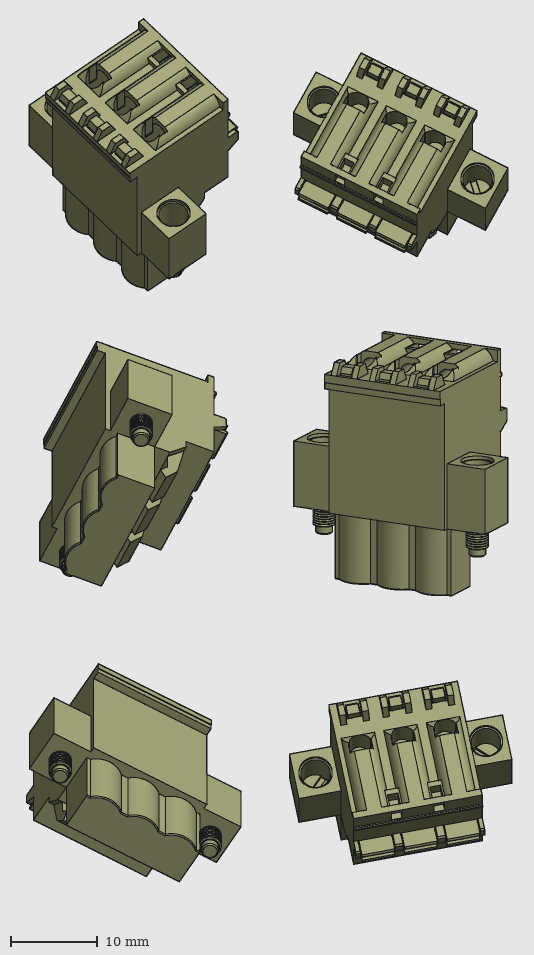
import cadquery as cq
import math

POLE_PITCH = 5.0
POLES = [-POLE_PITCH, 0, POLE_PITCH]
POLE_GAPS = [-POLE_PITCH / 2, POLE_PITCH / 2]

BODY_WIDTH = 15.1
BODY_FRONT = 1.1
BODY_BACK = 14.82
BODY_BOTTOM = 8.3
DECK = 25.22
TOP = 26.6
STEP_Y = 11.28
STEP_Z = 11.6
STEP_CORNER_Z = 10.55
CATCH_Y = 9.23

LIP_SPLIT = 24.23
LIP_BOTTOM = 23.45
LIP_SETBACK = 0.08

BACK_WALL_Y = 14.05
DOME_FRONT = 4.34
DOME_BASE_HALF = 1.97
DOME_TOP_HALF = 0.88
DOME_HEIGHT = TOP - DECK
ENTRY_WIDTH = 2.45
ENTRY_BACK = 6.68
ENTRY_DEPTH = 5.32
SHOULDER_WIDTH = 2.7
SHOULDER_DEPTH = 3.2
TUNNEL_RADIUS = ENTRY_WIDTH / 2
TUNNEL_CREST = 25.83
TUNNEL_LENGTH = 3.2

RIB_WIDTH = 0.72
RIB_OFFSET = 1.33
RIB_BACK = 2.77
RIB_TOP_FRONT = 0.8
RIB_TOP_BACK = 2.07
LATCH_WIDTH = 1.44
LATCH_TOP = 26.2
LATCH_FRONT = 0.5
LATCH_STEP = 0.88
LATCH_BACK = 2.0
LATCH_SHOULDER = 25.48
LATCH_CLEARANCE = 0.1
LATCH_POCKET_DEPTH = 0.27

FRAME_WIDTH = 1.65
FRAME_FRONT = 11.85
FRAME_TOP = 25.94
FRAME_HOLE_WIDTH = 1.25
FRAME_HOLE_FRONT = 12.45
FRAME_HOLE_FLOOR = 23.95

PLUG_FRONT = 2.63
PLUG_BACK = 7.32
BARREL_FRONT = 1.8
BARREL_HALF = 2.07
PLUG_CHAMFER = 0.13

FLANGE_SPAN = 25
FLANGE_FRONT = 1.73
FLANGE_TOP = 16.12
SCREW_X = 2 * POLE_PITCH
SCREW_Y = (FLANGE_FRONT + PLUG_BACK) / 2
HEAD_RADIUS = 1.7
HEAD_DEPTH = 5.32
RECESS_RADIUS = 1.92
RECESS_DEPTH = 0.4
DRIVE_SLOT_WIDTH = 0.7
DRIVE_SLOT_DEPTH = 0.53
THREAD_RADIUS = 1.3
THREAD_ROOT = 1.12
THREAD_START = 8.38
THREAD_PITCH = 0.3
THREAD_TURNS = 9
TIP_RADIUS = 0.98
TIP_END = 4.8
TIP_CHAMFER = 0.15

HOOK_WIDTH = 3.83
HOOK_GAP = 0.13
HOOK_ROOT = 14.63
BAR_BACK = 16.35
BAR_TOP = 19.15
BAR_BOTTOM = 16.62


def box(x_mid, width, y_front, y_back, z_low, z_high):
    """Block centred on x_mid in X and given by its limits in Y and Z."""
    block = cq.Workplane("XY").box(width, y_back - y_front, z_high - z_low, centered=(True, False, False))
    return block.translate((x_mid, y_front, z_low))


def side_prism(points, x_mid, width):
    """Closed (Y, Z) outline extruded along X, centred on x_mid."""
    prism = cq.Workplane("YZ").polyline(points).close().extrude(width / 2, both=True)
    return prism.translate((x_mid, 0, 0))


def make_body():
    """Housing block with the stepped underside, front lip and raised back wall."""
    outline = [
        (BODY_FRONT, BODY_BOTTOM), (CATCH_Y, BODY_BOTTOM), (STEP_Y, STEP_CORNER_Z), (STEP_Y, STEP_Z),
        (BODY_BACK, STEP_Z), (BODY_BACK, TOP), (BACK_WALL_Y, TOP), (BACK_WALL_Y, DECK), (0, DECK),
        (0, LIP_SPLIT), (LIP_SETBACK, LIP_SPLIT), (LIP_SETBACK, LIP_BOTTOM), (BODY_FRONT, LIP_BOTTOM),
    ]
    return side_prism(outline, 0, BODY_WIDTH)


def make_dome(x):
    """Flat-topped arched rib over one pole, bevelled at 45 degrees at its front end."""
    deck_rise = (DOME_BASE_HALF**2 - DOME_TOP_HALF**2 - DOME_HEIGHT**2) / (2 * DOME_HEIGHT)
    radius = math.hypot(DOME_BASE_HALF, deck_rise)
    arch = (
        cq.Workplane("XZ", origin=(x, DOME_FRONT, DECK - deck_rise))
        .circle(radius)
        .extrude(DOME_FRONT - BACK_WALL_Y)
    )
    bevel = [
        (DOME_FRONT, DECK), (BACK_WALL_Y, DECK), (BACK_WALL_Y, TOP), (DOME_FRONT + DOME_HEIGHT, TOP),
    ]
    return arch.intersect(side_prism(bevel, x, 2 * DOME_BASE_HALF))


def make_entry(x):
    """Round-fronted wire entry, eased at the top, with a short arched tunnel running back under the dome."""
    radius = ENTRY_WIDTH / 2
    centre_y = DOME_FRONT + radius
    floor = TOP - ENTRY_DEPTH
    well = (
        cq.Workplane("XY", origin=(x, 0, floor))
        .moveTo(-radius, ENTRY_BACK)
        .lineTo(-radius, centre_y)
        .threePointArc((0, DOME_FRONT), (radius, centre_y))
        .lineTo(radius, ENTRY_BACK)
        .close()
        .extrude(ENTRY_DEPTH)
    )
    shoulder = box(x, SHOULDER_WIDTH, centre_y, ENTRY_BACK, TOP - SHOULDER_DEPTH, TOP)
    spring = TUNNEL_CREST - TUNNEL_RADIUS
    tunnel_back = ENTRY_BACK + TUNNEL_LENGTH
    arch = cq.Workplane("XZ", origin=(x, ENTRY_BACK, spring)).circle(TUNNEL_RADIUS).extrude(-TUNNEL_LENGTH)
    tunnel = box(x, 2 * TUNNEL_RADIUS, ENTRY_BACK, tunnel_back, floor, spring).union(arch)
    return well.union(shoulder).union(tunnel)


def make_rib(x):
    """Trapezoid guide rib on the front edge of the deck."""
    outline = [(0, DECK), (RIB_BACK, DECK), (RIB_TOP_BACK, TOP), (RIB_TOP_FRONT, TOP)]
    return side_prism(outline, x, RIB_WIDTH)


def make_latch(x):
    """Small latch block with a sloped front, standing in its shallow pocket between two ribs."""
    outline = [
        (LATCH_FRONT, DECK - LATCH_POCKET_DEPTH), (LATCH_BACK, DECK - LATCH_POCKET_DEPTH),
        (LATCH_BACK, LATCH_TOP), (LATCH_STEP, LATCH_TOP), (LATCH_FRONT, LATCH_SHOULDER),
    ]
    return side_prism(outline, x, LATCH_WIDTH)


def make_hooks(x):
    """Double-nosed hook on the back face and bent lever below one pole."""
    noses = [
        (HOOK_ROOT, 19.05), (16.6, 19.05), (16.8, 18.8), (16.65, 18.6), (16.28, 18.4),
        (16.28, 17.65), (16.7, 17.58), (16.8, 17.35), (16.6, 17.08), (HOOK_ROOT, 17.08),
    ]
    lever = [
        (STEP_Y, STEP_CORNER_Z), (10.48, 5.98), (9.0, 3.95), (8.33, 5.05), (CATCH_Y, 6.28),
        (CATCH_Y, BODY_BOTTOM),
    ]
    return side_prism(noses, x, HOOK_WIDTH).union(side_prism(lever, x, HOOK_WIDTH))


def make_back_bar():
    """Bar across the back face, interrupted at each hook, and the small bead above it."""
    outline = [
        (HOOK_ROOT, BAR_TOP), (16.12, BAR_TOP), (BAR_BACK, 19.0), (BAR_BACK, 17.55),
        (BODY_BACK, BAR_BOTTOM), (HOOK_ROOT, BAR_BOTTOM),
    ]
    bar = side_prism(outline, 0, BODY_WIDTH)
    for x in POLES:
        bar = bar.cut(box(x, HOOK_WIDTH + 2 * HOOK_GAP, BODY_BACK, BAR_BACK, BAR_BOTTOM, BAR_TOP))
    bead = [(HOOK_ROOT, 23.75), (14.98, 23.75), (15.1, 23.62), (15.1, 23.35), (14.98, 23.22), (HOOK_ROOT, 23.22)]
    return bar.union(side_prism(bead, 0, BODY_WIDTH))


def make_barrel(x):
    """Rounded front of one plug chamber."""
    return (
        cq.Workplane("XY")
        .moveTo(x - BARREL_HALF, PLUG_FRONT)
        .threePointArc((x, BARREL_FRONT), (x + BARREL_HALF, PLUG_FRONT))
        .lineTo(x + BARREL_HALF, PLUG_BACK)
        .lineTo(x - BARREL_HALF, PLUG_BACK)
        .close()
        .extrude(BODY_BOTTOM)
    )


def make_plug():
    """Plug block with one rounded chamber front per pole and a bevelled front bottom edge."""
    plug = box(0, BODY_WIDTH, PLUG_FRONT, PLUG_BACK, 0, BODY_BOTTOM)
    for x in POLES:
        plug = plug.union(make_barrel(x))
    front_edges = cq.selectors.BoxSelector(
        (-BODY_WIDTH, BARREL_FRONT - 0.27, -0.27), (BODY_WIDTH, PLUG_FRONT + 0.27, 0.27), boundingbox=False
    )
    return plug.faces("<Z").edges(front_edges).chamfer(PLUG_CHAMFER)


def make_flange(side):
    """Screw block on one side (-1 or 1) with its recessed slotted screw head and threaded end."""
    width = (FLANGE_SPAN - BODY_WIDTH) / 2
    x = side * SCREW_X
    block_x = side * (BODY_WIDTH + width) / 2
    flange = box(block_x, width, FLANGE_FRONT, PLUG_BACK, BODY_BOTTOM, FLANGE_TOP)

    top_plane = cq.Workplane("XY", origin=(x, SCREW_Y, FLANGE_TOP))
    flange = flange.cut(top_plane.circle(RECESS_RADIUS).extrude(-RECESS_DEPTH))
    flange = flange.cut(top_plane.circle(HEAD_RADIUS).extrude(-HEAD_DEPTH))
    slot = (
        cq.Workplane("XY", origin=(x, SCREW_Y, FLANGE_TOP - HEAD_DEPTH))
        .transformed(rotate=(0, 0, side * 45))
        .rect(2 * HEAD_RADIUS, DRIVE_SLOT_WIDTH)
        .extrude(-DRIVE_SLOT_DEPTH)
    )
    head = cq.Workplane("XY", origin=(x, SCREW_Y, BODY_BOTTOM)).circle(HEAD_RADIUS).extrude(FLANGE_TOP)
    flange = flange.cut(slot.intersect(head))
    return flange.union(make_screw_end(x))


def make_screw_end(x):
    """Thread modelled as a stack of V-shaped rings above a plain chamfered tip."""
    profile = [(0, THREAD_START)]
    for turn in range(THREAD_TURNS):
        ring_top = THREAD_START - turn * THREAD_PITCH
        profile.append((THREAD_ROOT, ring_top))
        profile.append((THREAD_RADIUS, ring_top - THREAD_PITCH / 2))
    thread_end = THREAD_START - THREAD_TURNS * THREAD_PITCH
    profile += [
        (THREAD_ROOT, thread_end), (TIP_RADIUS, thread_end), (TIP_RADIUS, TIP_END + TIP_CHAMFER),
        (TIP_RADIUS - TIP_CHAMFER, TIP_END), (0, TIP_END),
    ]
    screw = cq.Workplane("XZ").polyline(profile).close().revolve(360, (0, 0, 0), (0, 1, 0))
    return screw.translate((x, SCREW_Y, 0))


part = make_body()
part = part.union(make_back_bar())
part = part.union(make_plug())

for x in POLES:
    part = part.union(make_dome(x)).cut(make_entry(x))
    latch_pocket = box(
        x, LATCH_WIDTH + 2 * LATCH_CLEARANCE, LATCH_STEP, LATCH_BACK + LATCH_CLEARANCE,
        DECK - LATCH_POCKET_DEPTH, DECK,
    )
    part = part.cut(latch_pocket).union(make_latch(x))
    for offset in (-RIB_OFFSET, RIB_OFFSET):
        part = part.union(make_rib(x + offset))
    part = part.union(make_hooks(x))

for x in POLE_GAPS:
    part = part.union(box(x, FRAME_WIDTH, FRAME_FRONT, BACK_WALL_Y, DECK, FRAME_TOP))
    part = part.cut(box(x, FRAME_HOLE_WIDTH, FRAME_HOLE_FRONT, BODY_BACK, FRAME_HOLE_FLOOR, FRAME_TOP))

for side in (-1, 1):
    part = part.union(make_flange(side))

result = part